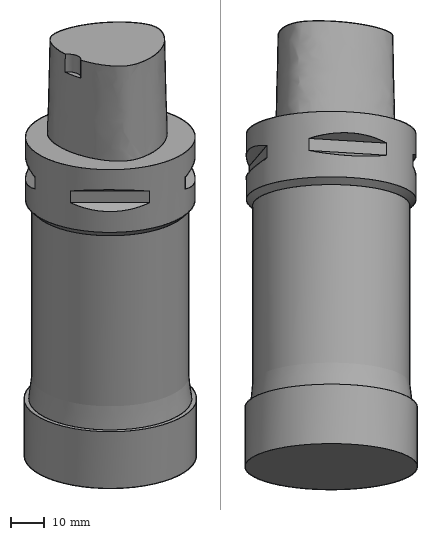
import cadquery as cq
import math

total_height = 131.6
nut_diameter = 50.8
nut_height = 18.2

barrel_diameter = 46.3
foot_diameter = 48.0
foot_height = 7.1
flange_diameter = 50.0
flange_height = 20.0
chamfer = (flange_diameter - barrel_diameter) / 2

coupling_height = 30.0
coupling_width = 35.3
coupling_taper = 1 / 20
lobe_amplitude = 1.25
points_per_outline = 24
flange_top = total_height - coupling_height
flange_bottom = flange_top - flange_height

keyway_diameter = 7.9
keyway_depth = 5.7
keyway_offset = 17.8

notch_count = 4
notch_first_angle = 45.0
notch_floor_height = 3.7
notch_mouth_height = 7.0
notch_floor_radius = 22.1
notch_drop = 9.9


def make_nut():
    return cq.Workplane("XY").circle(nut_diameter / 2).extrude(nut_height)


def make_shank():
    """Revolved foot, barrel and flange."""
    barrel_radius = barrel_diameter / 2
    flange_radius = flange_diameter / 2
    return (
        cq.Workplane("XZ")
        .moveTo(0, nut_height)
        .lineTo(foot_diameter / 2, nut_height)
        .lineTo(barrel_radius, nut_height + foot_height)
        .lineTo(barrel_radius, flange_bottom - chamfer)
        .lineTo(flange_radius, flange_bottom)
        .lineTo(flange_radius, flange_top)
        .lineTo(0, flange_top)
        .close()
        .revolve(360, (0, 0, 0), (0, 1, 0))
    )


def lobed_point(width, angle):
    """Point with outward normal at the angle, on a curve of constant width with one lobe toward +Y."""
    lobe_angle = 3 * (angle - math.pi / 2)
    reach = width / 2 + lobe_amplitude * math.cos(lobe_angle)
    slide = -3 * lobe_amplitude * math.sin(lobe_angle)
    x = reach * math.cos(angle) - slide * math.sin(angle)
    y = reach * math.sin(angle) + slide * math.cos(angle)
    return (x, y)


def lobed_outline(width):
    step = 2 * math.pi / points_per_outline
    return [lobed_point(width, i * step) for i in range(points_per_outline)]


def make_coupling():
    top_width = coupling_width - coupling_taper * coupling_height
    return (
        cq.Workplane("XY", origin=(0, 0, flange_top))
        .spline(lobed_outline(coupling_width), periodic=True)
        .close()
        .workplane(offset=coupling_height)
        .spline(lobed_outline(top_width), periodic=True)
        .close()
        .loft(ruled=True)
    )


def make_keyway():
    return (
        cq.Workplane("XY", origin=(0, -keyway_offset, total_height - keyway_depth))
        .circle(keyway_diameter / 2)
        .extrude(keyway_depth)
    )


def make_notch(angle):
    """Straight trapezoidal cutter that widens outward from the flat notch floor."""
    flange_radius = flange_diameter / 2
    notch_z = flange_top - notch_drop
    wall_slope = (notch_mouth_height - notch_floor_height) / 2 / (flange_radius - notch_floor_radius)
    cutter_radius = nut_diameter / 2
    half_floor = notch_floor_height / 2
    half_outer = half_floor + wall_slope * (cutter_radius - notch_floor_radius)
    return (
        cq.Workplane("XZ")
        .polyline([
            (notch_floor_radius, notch_z - half_floor),
            (cutter_radius, notch_z - half_outer),
            (cutter_radius, notch_z + half_outer),
            (notch_floor_radius, notch_z + half_floor),
        ])
        .close()
        .extrude(flange_radius, both=True)
        .rotate((0, 0, 0), (0, 0, 1), angle)
    )


def make_holder():
    holder = make_shank().union(make_coupling()).cut(make_keyway())
    for i in range(notch_count):
        holder = holder.cut(make_notch(notch_first_angle + i * 360 / notch_count))
    return holder


nut = make_nut()
holder = make_holder()
result = cq.Compound.makeCompound([nut.val(), *holder.solids().vals()])